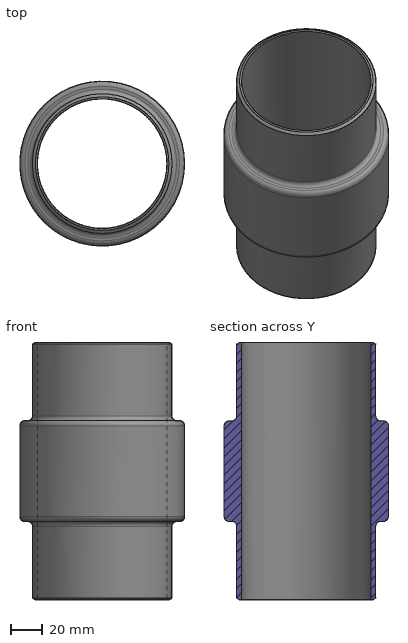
import cadquery as cq

total_length = 164.0
tube_end_length = 49.9
body_length = total_length - 2 * tube_end_length

body_radius = 52.5
tube_radius = 44.5
bore_radius = 41.2

body_rounding = 3.3
neck_rounding = 3.0
end_chamfer_width = 2.0
end_chamfer_height = 1.1


def centred_cylinder(radius, length):
    """Cylinder along Z, centred on the origin."""
    return cq.Workplane("XY").circle(radius).extrude(length / 2, both=True)


def rim(height, radius):
    """Selector for the circular edge of the given radius at the given height."""
    margin = 0.2
    reach = radius + margin
    return cq.selectors.BoxSelector(
        (-reach, -reach, height - margin),
        (reach, reach, height + margin),
        boundingbox=True,
    )


body = centred_cylinder(body_radius, body_length)
body = body.faces("<Z or >Z").edges().fillet(body_rounding)

tube = centred_cylinder(tube_radius, total_length)
for end_face in (">Z", "<Z"):
    tube = tube.faces(end_face).chamfer(end_chamfer_height, end_chamfer_width)

sleeve = body.union(tube)
for neck_height in (-body_length / 2, body_length / 2):
    sleeve = sleeve.edges(rim(neck_height, tube_radius)).fillet(neck_rounding)

result = sleeve.cut(centred_cylinder(bore_radius, total_length))